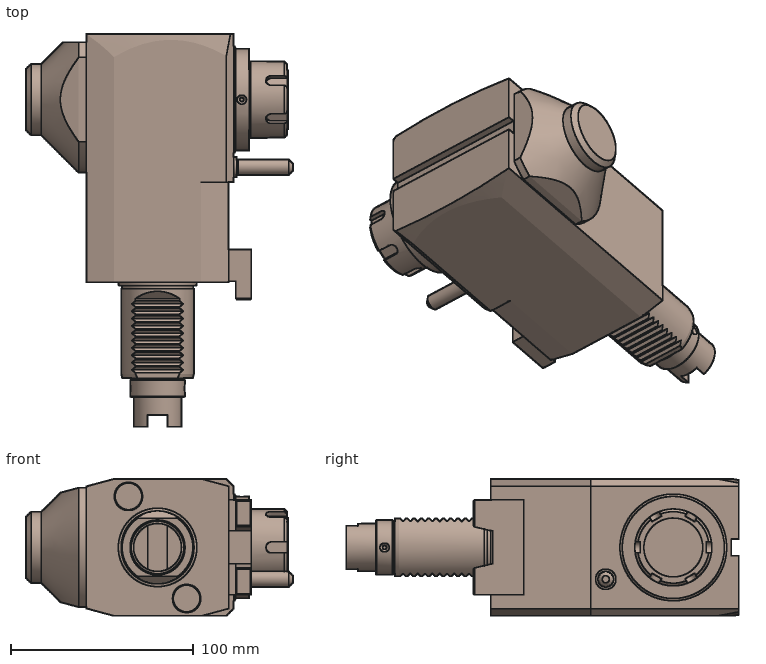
import cadquery as cq
import math


overlap = 2.2

block_height = 75.0
half_height = block_height / 2
block_half_width = 39.0
block_back = 135.9
bevel_width = 15.0
bevel_angle = 15.0
bevel_drop = bevel_width * math.tan(math.radians(bevel_angle))
bevel_edge_z = half_height - bevel_drop

head_front = 54.8
head_right = 41.7
head_chamfer = 4.0

back_arc_x = 7.3
back_arc_height = 37.0
back_taper = 9.5
back_taper_length = 43.0
back_slot_width = 9.0
back_slot_depth = 4.0

spindle_y = 100.0
cap_left = -72.0
cap_radius = 40.0
cap_neck_radius = 19.5
cap_neck_chamfer = 2.8
cap_rim = 4.3
cap_flat_z = 32.7
cap_flat_y = 131.4

flange_radius = 29.2
flange_right = 42.1
flange_taper_right = 42.8
collar_radius = 28.0
collar_right = 50.0
spindle_neck_radius = 16.5
nut_left = 51.0
nut_radius = 21.0
nut_right = 71.0
nut_chamfer = 1.5
nut_lip_radius = 16.1
nut_lip_right = 71.5
nut_slot_count = 6
nut_slot_width = 6.0
nut_slot_left = 59.3
nut_slot_depth = 3.0

pin_y = 63.0
pin_z = -17.5
pin_radius = 4.3
pin_flange_radius = 5.5
pin_flange_right = 43.2
pin_right = 74.2
pin_chamfer = 2.4
pin_lead = 0.9

shank_collar_radius = 21.5
shank_collar_length = 2.0
shank_collar_fillet = 0.9
shank_relief_radius = 19.5
shank_relief_end = -3.5
shank_radius = 20.0
shank_end = -52.5
shank_chamfer_length = 2.4
shank_chamfer_depth = 0.6

flat_z = 16.0
flat_start = -9.0
serration_count = 10
serration_first = -11.8
serration_last = -48.0
serration_pitch = (serration_first - serration_last) / (serration_count - 1)
serration_depth = 1.61

drive_neck_radius = 14.2
drive_ring_start = -53.0
drive_ring_end = -63.0
drive_ring_radius = 15.0
drive_ring_chamfer = 0.6
drive_radius = 13.1
drive_end = -79.1
drive_slot_width = 10.8
drive_slot_depth = 6.5
dimple_radius = 2.5
dimple_bottom_radius = 1.0
dimple_depth = 1.7

key_right = 51.4
key_back = 18.0
key_front = 0.5
key_centre_recess = 0.9
key_half_height = 26.0
tooth_left = 42.8
tooth_front = -9.5
tooth_root_z = 9.0
tooth_tip_z = 11.5
tooth_chamfer = 0.6

seat_x = 16.0
seat_z = 28.0
seat_radius = 7.7
seat_bottom_radius = 7.3
seat_depth = 0.5


def box(x_range, y_range, z_range):
    """Box spanning the given (low, high) ranges."""
    low, high = zip(x_range, y_range, z_range)
    size = [b - a for a, b in zip(low, high)]
    return cq.Workplane("XY").box(*size, centered=False).translate(low)


def turned_on_x(profile, y, z):
    """Turned part on an axis parallel to X; the profile holds (x, radius) points."""
    outline = [(profile[0][0], 0)] + profile + [(profile[-1][0], 0)]
    solid = cq.Workplane("XY").polyline(outline).close().revolve(360, (0, 0), (1, 0))
    return solid.translate((0, y, z))


def turned_on_y(profile):
    """Turned part on the Y axis; the profile holds (radius, y) points."""
    outline = [(0, profile[0][1])] + profile + [(0, profile[-1][1])]
    return cq.Workplane("XY").polyline(outline).close().revolve(360, (0, 0), (0, 1))


def along_y(profile, start, end):
    """Prism along +Y from an outline drawn in X and Z."""
    return profile.extrude(start - end).translate((0, start, 0))


def both_heights(solid):
    """The solid together with its mirror image in Z."""
    return solid.union(solid.mirror("XY"))


def cone(base_radius, tip_radius, depth, base, direction):
    """Truncated cone used as a tapered recess."""
    solid = cq.Solid.makeCone(base_radius, tip_radius, depth, cq.Vector(*base), cq.Vector(*direction))
    return cq.Workplane(solid)


def block_section(right, corner_x, corner_z):
    """Cross-section with the long bevels on the left and the given bevels on the right."""
    left_corner_x = bevel_width - block_half_width
    points = [
        (-block_half_width, -bevel_edge_z),
        (left_corner_x, -half_height),
        (corner_x, -half_height),
        (right, -corner_z),
        (right, corner_z),
        (corner_x, half_height),
        (left_corner_x, half_height),
        (-block_half_width, bevel_edge_z),
    ]
    return cq.Workplane("XZ").polyline(points).close()


def make_block():
    body_section = block_section(block_half_width, block_half_width - bevel_width, bevel_edge_z)
    head_section = block_section(head_right, head_right - head_chamfer, half_height - head_chamfer)
    body = along_y(body_section, 0, head_front)
    head = along_y(head_section, head_front, block_back)
    return body.union(head.intersect(back_bevel_envelope()))


def back_bevel_envelope():
    """Arched outline at the back face that widens toward the front."""
    half_chord = block_half_width + back_arc_x
    left = back_arc_x - half_chord
    right = back_arc_x + half_chord
    outline = (
        cq.Workplane("XZ", origin=(0, block_back, 0))
        .moveTo(left, -bevel_edge_z)
        .threePointArc((back_arc_x, -back_arc_height), (right, -bevel_edge_z))
        .lineTo(right, bevel_edge_z)
        .threePointArc((back_arc_x, back_arc_height), (left, bevel_edge_z))
        .close()
    )
    near = outline.extrude(back_taper_length, taper=-back_taper)
    reach = 2 * block_half_width
    far = box((-reach, reach), (0, block_back - back_taper_length), (-half_height, half_height))
    return near.union(far)


def make_cap():
    rim_x = -block_half_width - cap_rim
    cone_end = rim_x - (cap_radius - cap_neck_radius)
    cap = turned_on_x(
        [
            (cap_left, cap_neck_radius - cap_neck_chamfer),
            (cap_left + cap_neck_chamfer, cap_neck_radius),
            (cone_end, cap_neck_radius),
            (rim_x, cap_radius),
            (-block_half_width, cap_radius),
        ],
        spindle_y,
        0,
    )
    slope_end_z = cap_flat_z - (rim_x - cap_left) * math.tan(math.radians(bevel_angle))
    envelope_outline = [
        (cap_left, -slope_end_z),
        (rim_x, -cap_flat_z),
        (-block_half_width, -cap_flat_z),
        (-block_half_width, cap_flat_z),
        (rim_x, cap_flat_z),
        (cap_left, slope_end_z),
    ]
    envelope = along_y(cq.Workplane("XZ").polyline(envelope_outline).close(), 0, cap_flat_y)
    return cap.intersect(envelope)


def make_spindle():
    spindle = turned_on_x(
        [
            (0, flange_radius),
            (flange_right, flange_radius),
            (flange_taper_right, collar_radius),
            (collar_right, collar_radius),
            (collar_right, spindle_neck_radius),
            (nut_left, spindle_neck_radius),
            (nut_left, nut_radius),
            (nut_right - nut_chamfer, nut_radius),
            (nut_right, nut_radius - nut_chamfer),
            (nut_right, nut_lip_radius),
            (nut_lip_right, nut_lip_radius),
        ],
        spindle_y,
        0,
    )
    round_x = nut_slot_left + nut_slot_width / 2
    floor = nut_radius - nut_slot_depth
    for i in range(nut_slot_count):
        slot = (
            cq.Workplane("XZ")
            .moveTo(nut_lip_right, -nut_slot_width / 2)
            .lineTo(round_x, -nut_slot_width / 2)
            .threePointArc((nut_slot_left, 0), (round_x, nut_slot_width / 2))
            .lineTo(nut_lip_right, nut_slot_width / 2)
            .close()
            .extrude(2 * nut_slot_depth)
            .translate((0, -floor, 0))
            .rotate((0, 0, 0), (1, 0, 0), 360 / nut_slot_count * i)
            .translate((0, spindle_y, 0))
        )
        spindle = spindle.cut(slot)
    dimple_x = (flange_right + collar_right) / 2
    dimple_top = (dimple_x, spindle_y, collar_radius)
    return spindle.cut(cone(dimple_radius, dimple_bottom_radius, dimple_depth, dimple_top, (0, 0, -1)))


def make_pin():
    return turned_on_x(
        [
            (head_right - overlap, pin_flange_radius),
            (pin_flange_right, pin_flange_radius),
            (pin_flange_right, pin_radius - pin_lead / 2),
            (pin_flange_right + pin_lead, pin_radius),
            (pin_right - pin_chamfer, pin_radius),
            (pin_right, pin_radius - pin_chamfer),
        ],
        pin_y,
        pin_z,
    )


def make_shank():
    collar = turned_on_y([(shank_collar_radius, overlap), (shank_collar_radius, -shank_collar_length)])
    collar = collar.faces("<Y").edges().fillet(shank_collar_fillet)
    shank = turned_on_y(
        [
            (shank_relief_radius, 0),
            (shank_relief_radius, shank_relief_end),
            (shank_radius, shank_relief_end),
            (shank_radius, shank_end + shank_chamfer_length),
            (shank_radius - shank_chamfer_depth, shank_end),
        ]
    )
    return collar.union(shank.cut(both_heights(serration_cutter())))


def serration_cutter():
    """Flat with V grooves across it, entered from the front over a 45 degree ramp."""
    outer_z = shank_radius + overlap
    points = [(flat_start + outer_z - flat_z, outer_z), (flat_start, flat_z)]
    for i in range(serration_count):
        y = serration_first - i * serration_pitch
        points += [
            (y + serration_depth, flat_z),
            (y, flat_z - serration_depth),
            (y - serration_depth, flat_z),
        ]
    points += [(shank_end, flat_z), (shank_end, outer_z)]
    return cq.Workplane("YZ").polyline(points).close().extrude(shank_radius, both=True)


def make_drive_end():
    drive = turned_on_y(
        [
            (drive_neck_radius, shank_end + overlap),
            (drive_neck_radius, drive_ring_start),
            (drive_ring_radius - drive_ring_chamfer, drive_ring_start),
            (drive_ring_radius, drive_ring_start - drive_ring_chamfer),
            (drive_ring_radius, drive_ring_end + drive_ring_chamfer),
            (drive_ring_radius - drive_ring_chamfer, drive_ring_end),
            (drive_radius, drive_ring_end),
            (drive_radius, drive_end),
        ]
    )
    half_slot = drive_slot_width / 2
    slot_z = (-drive_radius, drive_radius)
    drive = drive.cut(box((-half_slot, half_slot), (drive_end, drive_end + drive_slot_depth), slot_z))
    dimple_y = (drive_ring_start + drive_ring_end) / 2
    for side in (-1, 1):
        base = (side * drive_ring_radius, dimple_y, 0)
        drive = drive.cut(cone(dimple_radius, dimple_bottom_radius, dimple_depth, base, (-side, 0, 0)))
    return drive


def make_key():
    centre_front = key_front + key_centre_recess
    key = box((block_half_width, key_right), (centre_front, key_back), (-key_half_height, key_half_height))
    pad = box((block_half_width, key_right), (key_front, key_back), (tooth_root_z, key_half_height))
    tooth_outline = [
        (key_back, tooth_root_z),
        (key_front, tooth_root_z),
        (tooth_front, tooth_tip_z),
        (tooth_front, key_half_height),
        (key_back, key_half_height),
    ]
    tooth = cq.Workplane("YZ", origin=(tooth_left, 0, 0)).polyline(tooth_outline).close()
    tooth = tooth.extrude(key_right - tooth_left)
    tooth = tooth.faces("<Y").edges().chamfer(tooth_chamfer)
    return key.union(both_heights(pad.union(tooth)))


block = make_block()
result = block.union(make_cap()).union(make_spindle()).union(make_pin())
result = result.union(make_shank()).union(make_drive_end()).union(make_key())

slot_half = back_slot_width / 2
back_slot = box(
    (-block_half_width, head_right), (block_back - back_slot_depth, block_back), (-slot_half, slot_half)
)
result = result.cut(back_slot)

for side in (-1, 1):
    seat_centre = (side * seat_x, 0, -side * seat_z)
    result = result.cut(cone(seat_radius, seat_bottom_radius, seat_depth, seat_centre, (0, 1, 0)))